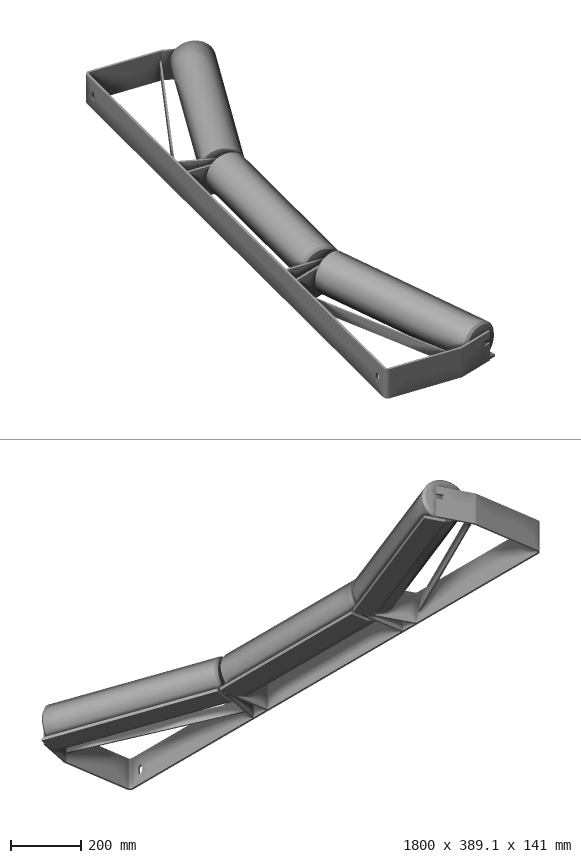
import cadquery as cq
import math


FRAME_LENGTH = 1800.0
FRAME_HEIGHT = 99.0
SHEET = 7.0
BEND_RADIUS = 15.0
TROUGH_ANGLE = 20.0
SLOT_HOLE_WIDTH = 18.0
SLOT_HOLE_HEIGHT = 29.0
SLOT_HOLE_Z = 47.0
SLOT_HOLE_INSET = 50.0

ROLLER_RADIUS = 67.0
ROLLER_LENGTH = 576.0
ROLLER_Z = ROLLER_RADIUS
CHAMFER_AXIAL = 7.0
CHAMFER_RADIAL = 7.0
SHAFT_DIAMETER = 22.0
SHAFT_FLATS = 16.0
END_GAP = 4.0
MIDDLE_ROLLER_Y = 126.0
SIDE_ROLLER_X = 589.0
SIDE_ROLLER_Y = 230.0

FIN_LENGTH = ROLLER_LENGTH
FIN_WIDTH = 63.0
FIN_BOTTOM = -7.0
FIN_TOP = 2.0

PLATE_TOP_OVER_AXIS = 30.0

BRACE_THICKNESS = 5.0
BRACE_HEIGHT = 36.0
BRACE_FOOT_X = 367.0

HALF_LENGTH = FRAME_LENGTH / 2
SLOPE = math.radians(TROUGH_ANGLE)
PLATE_FACE = ROLLER_LENGTH / 2 + END_GAP
SHAFT_LENGTH = 2 * (PLATE_FACE + SHEET)

ROLLER_PLACES = [
    (-SIDE_ROLLER_X, SIDE_ROLLER_Y, -TROUGH_ANGLE),
    (0.0, MIDDLE_ROLLER_Y, 0.0),
    (SIDE_ROLLER_X, SIDE_ROLLER_Y, TROUGH_ANGLE),
]


def place(shape, spot):
    """Move a shape built along X at the origin to a roller place."""
    x, y, angle = spot
    return shape.rotate((0, 0, 0), (0, 0, 1), angle).translate((x, y, ROLLER_Z))


def side_point(along, up):
    """Point on the right side roller: distance along its axis and square to it."""
    x = SIDE_ROLLER_X + along * math.cos(SLOPE) - up * math.sin(SLOPE)
    y = SIDE_ROLLER_Y + along * math.sin(SLOPE) + up * math.cos(SLOPE)
    return x, y


def side_point_at_y(along, y):
    """Point at a given Y on the line square to the side roller axis."""
    up = (y - SIDE_ROLLER_Y - along * math.sin(SLOPE)) / math.cos(SLOPE)
    return side_point(along, up)


def side_point_at_x(along, x):
    """Point at a given X on the line square to the side roller axis."""
    up = (SIDE_ROLLER_X + along * math.cos(SLOPE) - x) / math.sin(SLOPE)
    return side_point(along, up)


def mirrored(points):
    return [(-x, y) for x, y in reversed(points)]


def make_shaft():
    """Round bar with two flats, reaching the outer faces of the carrying plates."""
    bar = cq.Workplane("YZ").circle(SHAFT_DIAMETER / 2).extrude(SHAFT_LENGTH / 2, both=True)
    return bar.intersect(cq.Workplane("XY").box(SHAFT_LENGTH, SHAFT_DIAMETER, SHAFT_FLATS))


def make_shaft_slots():
    """Open slots, as wide as the shaft flats, that let each shaft drop into its plates."""
    slots = []
    opening = 2 * PLATE_TOP_OVER_AXIS
    for spot in ROLLER_PLACES:
        throat = cq.Workplane("XY").box(
            SHAFT_LENGTH, opening, SHAFT_FLATS, centered=(True, False, True)
        )
        slots.append(place(throat.union(make_shaft()), spot))
    return slots


def make_frame(slots):
    """Base strip with upturned ends that lean outward square to the side rollers."""
    inner_x = HALF_LENGTH - SHEET
    outer_knee = side_point_at_x(PLATE_FACE + SHEET, HALF_LENGTH)
    outer_tip = side_point(PLATE_FACE + SHEET, PLATE_TOP_OVER_AXIS)
    inner_tip = side_point(PLATE_FACE, PLATE_TOP_OVER_AXIS)
    inner_knee = side_point_at_x(PLATE_FACE, inner_x)
    outer = [(HALF_LENGTH, 0), outer_knee, outer_tip]
    inner = [inner_tip, inner_knee, (inner_x, SHEET)]
    right = outer + inner
    frame = cq.Workplane("XY").polyline(right + mirrored(right)).close().extrude(FRAME_HEIGHT)

    bends = [
        ((HALF_LENGTH, 0), BEND_RADIUS),
        ((inner_x, SHEET), BEND_RADIUS - SHEET),
        (outer_knee, BEND_RADIUS),
        (inner_knee, BEND_RADIUS - SHEET),
    ]
    for (x, y), radius in bends:
        for side in (-1, 1):
            middle_of_edge = (side * x, y, FRAME_HEIGHT / 2)
            frame = frame.edges(cq.selectors.NearestToPointSelector(middle_of_edge)).fillet(radius)
    holes = (
        cq.Workplane("XZ")
        .pushPoints([(side * (HALF_LENGTH - SLOT_HOLE_INSET), SLOT_HOLE_Z) for side in (-1, 1)])
        .slot2D(SLOT_HOLE_HEIGHT, SLOT_HOLE_WIDTH, 90)
        .extrude(-2 * SHEET)
    )
    frame = frame.cut(holes)
    for slot in slots:
        frame = frame.cut(slot)
    return frame


def make_bracket(side, slots):
    """Folded support: upright plate, top web and leaning plate between two rollers."""
    top = MIDDLE_ROLLER_Y + PLATE_TOP_OVER_AXIS
    web_under = top - SHEET
    lean_face = -PLATE_FACE
    lean_back = -PLATE_FACE - SHEET
    outline = [
        (PLATE_FACE, SHEET),
        (PLATE_FACE, top),
        side_point_at_y(lean_face, top),
        side_point_at_y(lean_face, SHEET),
        side_point_at_y(lean_back, SHEET),
        side_point_at_y(lean_back, web_under),
        (PLATE_FACE + SHEET, web_under),
        (PLATE_FACE + SHEET, SHEET),
    ]
    if side < 0:
        outline = mirrored(outline)
    bracket = cq.Workplane("XY").polyline(outline).close().extrude(FRAME_HEIGHT)
    for slot in slots:
        bracket = bracket.cut(slot)
    return bracket


def make_brace(side):
    """Flat bar from the base strip up to the knee of the frame end."""
    wall = HALF_LENGTH - SHEET
    inner_bend_setback = (BEND_RADIUS - SHEET) * math.tan(SLOPE / 2)
    wall_top = side_point_at_x(PLATE_FACE, wall)[1] - inner_bend_setback
    rise = math.atan2(wall_top - SHEET, wall - BRACE_FOOT_X)
    outline = [
        (BRACE_FOOT_X, SHEET),
        (BRACE_FOOT_X + BRACE_THICKNESS / math.sin(rise), SHEET),
        (wall, wall_top - BRACE_THICKNESS / math.cos(rise)),
        (wall, wall_top),
    ]
    if side < 0:
        outline = mirrored(outline)
    return (
        cq.Workplane("XY")
        .workplane(offset=(FRAME_HEIGHT - BRACE_HEIGHT) / 2)
        .polyline(outline)
        .close()
        .extrude(BRACE_HEIGHT)
    )


def make_roller(spot):
    """Roller with tapered rims, its shaft, and the flat strip under its upper side."""
    half = ROLLER_LENGTH / 2
    rim_radius = ROLLER_RADIUS - CHAMFER_RADIAL
    profile = [
        (-half, 0),
        (-half, rim_radius),
        (-half + CHAMFER_AXIAL, ROLLER_RADIUS),
    ]
    roller = (
        cq.Workplane("XY").polyline(profile + mirrored(profile)).close()
        .revolve(360, (0, 0, 0), (1, 0, 0))
    )
    fin = (
        cq.Workplane("XY")
        .workplane(offset=FIN_BOTTOM - ROLLER_Z)
        .rect(FIN_LENGTH, FIN_WIDTH)
        .extrude(FIN_TOP - FIN_BOTTOM)
        .translate((0, FIN_WIDTH / 2, 0))
    )
    return place(roller.union(make_shaft()).union(fin), spot)


shaft_slots = make_shaft_slots()
frame = make_frame(shaft_slots)
brackets = [make_bracket(side, shaft_slots) for side in (-1, 1)]
braces = [make_brace(side) for side in (-1, 1)]
rollers = [make_roller(spot) for spot in ROLLER_PLACES]

bodies = [frame] + brackets + braces + rollers
result = cq.Compound.makeCompound([body.val() for body in bodies])